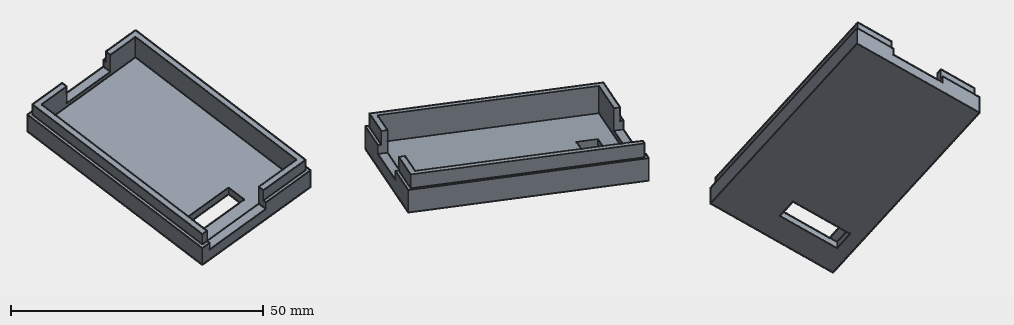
import cadquery as cq

length = 49.75
width = 29.9
height = 8.0

wall = 2.0
floor_thickness = 2.0
lip_inset = 0.7
lip_height = 3.05
base_height = height - lip_height

sill_height = 3.05
left_notch_width = 12.05
right_notch_top = 2.6

window_length = 4.45
window_width = 13.95
window_x = 17.15
window_y = -5.0

cavity_length = length - 2 * wall
cavity_width = width - 2 * wall
right_notch_bottom = -cavity_width / 2
right_notch_width = right_notch_top - right_notch_bottom
right_notch_y = (right_notch_top + right_notch_bottom) / 2
wall_center_x = (length - wall) / 2


def block(size_x, size_y, bottom, top, x=0, y=0):
    """Box centred at (x, y), spanning bottom to top in Z."""
    return (
        cq.Workplane("XY", origin=(x, y, bottom))
        .rect(size_x, size_y)
        .extrude(top - bottom)
    )


base = block(length, width, 0, base_height)
lip = block(length - 2 * lip_inset, width - 2 * lip_inset, base_height, height)

cavity = block(cavity_length, cavity_width, floor_thickness, height)
left_notch = block(wall, left_notch_width, sill_height, height, -wall_center_x)
right_notch = block(wall, right_notch_width, sill_height, height, wall_center_x, right_notch_y)
window = block(window_length, window_width, 0, floor_thickness, window_x, window_y)

result = base.union(lip).cut(cavity).cut(left_notch).cut(right_notch).cut(window)